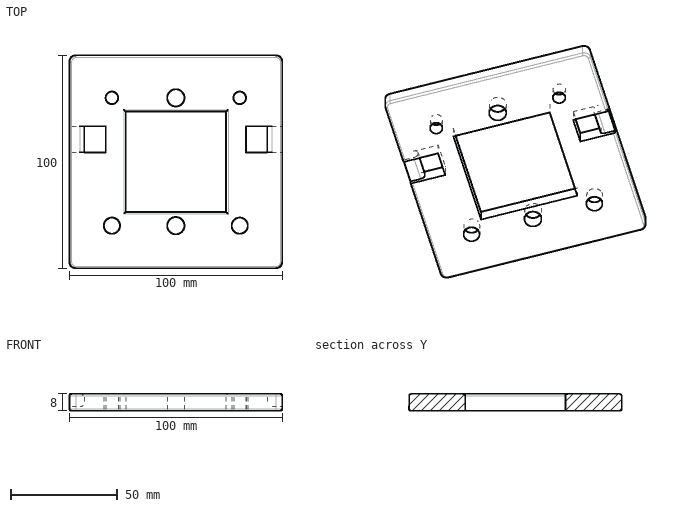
import cadquery as cq

side = 100
thickness = 8
corner_radius = 3
edge_radius = 1

opening_side = 47

hole_offset = 30
small_hole = 5.8
medium_hole = 7.5
large_hole = 8

window_outer_x = 45
window_length = 12
window_width = 12.2
window_center_y = 10.5
rim_radius = 2.1

channel_depth = 2.1


def make_plate():
    plate = cq.Workplane("XY").box(side, side, thickness, centered=(True, True, False))
    plate = plate.edges("|Z").fillet(corner_radius)
    return plate.faces("<Z or >Z").edges().fillet(edge_radius)


def cut_opening(plate):
    plate = plate.cut(
        cq.Workplane("XY").box(opening_side, opening_side, thickness, centered=(True, True, False))
    )
    half = opening_side / 2 + edge_radius
    rim_box = cq.selectors.BoxSelector(
        (-half, -half, thickness - edge_radius / 2),
        (half, half, thickness + edge_radius),
    )
    return plate.edges(rim_box).fillet(edge_radius)


def drill(plate, points, diameter):
    holes = cq.Workplane("XY").pushPoints(points).circle(diameter / 2).extrude(thickness)
    return plate.cut(holes)


def block_along_x(x_start, length, height):
    """Block of window width, spanning the given length in +X from x_start."""
    return (
        cq.Workplane("XY")
        .box(length, window_width, height, centered=(False, True, False))
        .translate((x_start, window_center_y, 0))
    )


def make_strap_cut():
    """Window and channel on the +X side, with rounded edges on the outer wall."""
    inner_x = window_outer_x - window_length
    rim_start = window_outer_x - rim_radius
    window = (
        cq.Workplane("XZ", origin=(0, window_center_y, 0))
        .moveTo(rim_start, channel_depth + rim_radius)
        .lineTo(rim_start, thickness - rim_radius)
        .radiusArc((window_outer_x, thickness), rim_radius)
        .lineTo(inner_x, thickness)
        .lineTo(inner_x, channel_depth)
        .lineTo(window_outer_x, channel_depth)
        .radiusArc((rim_start, channel_depth + rim_radius), rim_radius)
        .close()
        .extrude(window_width / 2, both=True)
    )
    channel = block_along_x(inner_x, side / 2 - inner_x, channel_depth)
    return window.union(channel)


result = cut_opening(make_plate())
result = drill(result, [(-hole_offset, hole_offset), (hole_offset, hole_offset)], small_hole)
result = drill(result, [(-hole_offset, -hole_offset), (hole_offset, -hole_offset)], medium_hole)
result = drill(result, [(0, -hole_offset), (0, hole_offset)], large_hole)

strap_cut = make_strap_cut()
result = result.cut(strap_cut).cut(strap_cut.mirror("YZ"))